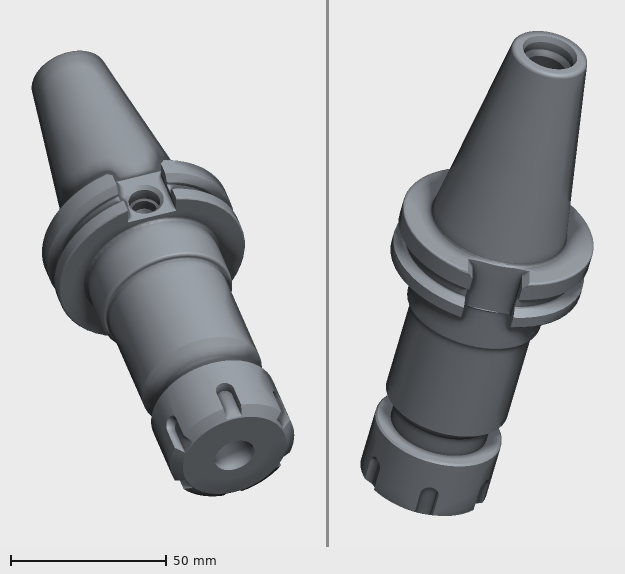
import cadquery as cq
import math


gauge_dia = 44.45
taper_length = 68.25
taper_ratio = 7 / 24
small_end_dia = gauge_dia - taper_length * taper_ratio
small_end_fillet = 1.5

flange_dia = 63.28
flange_start = 69.4
flange_end = 87.3
flange_rear_fillet = 0.8
flange_front_fillet = 0.6
flange_root_fillet = 1.0
groove_center = 79.35
groove_floor_dia = 56.2
groove_floor_width = 3.7
groove_mouth_width = 7.2
groove_wall_depth = 2.5

slot_width = 16.4
slot_corner_chamfer = 2.0
upper_slot_floor = 24.6
lower_slot_floor = 22.6

mouth_dia = 12.5
thread_dia = 10.13
drill_dia = 8.0
thread_depth = 5.3
drill_depth = 9.0
drill_point_angle = 118

shoulder_end = 103.3
shoulder_fillet = 1.0
body_dia = 40.51
body_root_fillet = 0.6
body_end = 139.2
neck_dia = 32.0

overall_length = 172.91
nut_start = 150.0
nut_dia = 42.0
nut_rear_chamfer = 0.6
nut_face_dia = 35.0
nut_cone_length = 2.4
wrench_slot_count = 6
wrench_slot_floor_width = 5.0
wrench_slot_floor_start = 160.5
wrench_slot_floor = 17.8
wrench_slot_draft = 9

bore_dia = 13.39
pilot_dia = 16.46
pilot_mouth_dia = 18.03
pilot_mouth_depth = 1.9
pilot_end = 4.8


def shank():
    """Revolved taper, flange and stepped front body, without cuts."""
    gauge_r = gauge_dia / 2
    flange_r = flange_dia / 2
    small_r = small_end_dia / 2
    body_r = body_dia / 2
    neck_r = neck_dia / 2
    body_cone_end = body_end + body_r - neck_r
    half_angle = math.atan(taper_ratio)
    setback = small_end_fillet * math.tan((math.pi / 2 - half_angle) / 2)
    round_end = (setback * math.cos(half_angle), small_r + setback * math.sin(half_angle))
    profile = (
        cq.Workplane("XY")
        .moveTo(0, 0)
        .lineTo(0, small_r - setback)
        .radiusArc(round_end, small_end_fillet)
        .lineTo(taper_length, gauge_r)
        .lineTo(flange_start - flange_root_fillet, gauge_r)
        .radiusArc((flange_start, gauge_r + flange_root_fillet), -flange_root_fillet)
        .lineTo(flange_start, flange_r - flange_rear_fillet)
        .radiusArc((flange_start + flange_rear_fillet, flange_r), flange_rear_fillet)
        .lineTo(flange_end - flange_front_fillet, flange_r)
        .radiusArc((flange_end, flange_r - flange_front_fillet), flange_front_fillet)
        .lineTo(flange_end, gauge_r + flange_root_fillet)
        .radiusArc((flange_end + flange_root_fillet, gauge_r), -flange_root_fillet)
        .lineTo(shoulder_end - shoulder_fillet, gauge_r)
        .radiusArc((shoulder_end, gauge_r - shoulder_fillet), shoulder_fillet)
        .lineTo(shoulder_end, body_r + body_root_fillet)
        .radiusArc((shoulder_end + body_root_fillet, body_r), -body_root_fillet)
        .lineTo(body_end, body_r)
        .lineTo(body_cone_end, neck_r)
        .lineTo(overall_length, neck_r)
        .lineTo(overall_length, 0)
        .close()
    )
    return profile.revolve(360, (0, 0, 0), (1, 0, 0))


def gripper_groove():
    """Ring cut into the flange: sloped upper walls above a straight-sided floor."""
    flange_r = flange_dia / 2
    wall_r = flange_r - groove_wall_depth
    floor_r = groove_floor_dia / 2
    half_floor = groove_floor_width / 2
    half_mouth = groove_mouth_width / 2
    profile = cq.Workplane("XY").polyline([
        (groove_center - half_mouth, flange_r),
        (groove_center - half_floor, wall_r),
        (groove_center - half_floor, floor_r),
        (groove_center + half_floor, floor_r),
        (groove_center + half_floor, wall_r),
        (groove_center + half_mouth, flange_r),
    ]).close()
    return profile.revolve(360, (0, 0, 0), (1, 0, 0))


def drive_slot(floor_height, side):
    """Slot through the flange on the +Z (side = 1) or -Z (side = -1) side."""
    half = slot_width / 2
    wide = half + slot_corner_chamfer
    outline = cq.Workplane("XY").workplane(offset=side * floor_height).polyline([
        (flange_start, -wide),
        (flange_start + slot_corner_chamfer, -half),
        (flange_end, -half),
        (flange_end, half),
        (flange_start + slot_corner_chamfer, half),
        (flange_start, wide),
    ]).close()
    return outline.extrude(side * flange_dia / 2)


def flange_hole():
    """Countersunk, stepped blind hole with a drill point, going down from the upper slot floor."""
    mouth_r = mouth_dia / 2
    thread_r = thread_dia / 2
    drill_r = drill_dia / 2
    point_length = drill_r / math.tan(math.radians(drill_point_angle / 2))
    top = upper_slot_floor
    profile = cq.Workplane("XZ").polyline([
        (0, top),
        (mouth_r, top),
        (thread_r, top - (mouth_r - thread_r)),
        (thread_r, top - thread_depth),
        (drill_r, top - thread_depth),
        (drill_r, top - drill_depth),
        (0, top - drill_depth - point_length),
    ]).close()
    return profile.revolve(360, (0, 0, 0), (0, 1, 0)).translate((groove_center, 0, 0))


def axial_bore():
    """Through bore with a chamfered pilot at the small end of the taper."""
    bore_r = bore_dia / 2
    pilot_r = pilot_dia / 2
    profile = cq.Workplane("XY").polyline([
        (0, 0),
        (0, pilot_mouth_dia / 2),
        (pilot_mouth_depth, pilot_r),
        (pilot_end, pilot_r),
        (pilot_end + pilot_r - bore_r, bore_r),
        (overall_length, bore_r),
        (overall_length, 0),
    ]).close()
    return profile.revolve(360, (0, 0, 0), (1, 0, 0))


def wrench_slot():
    """Round-ended slot with drafted walls on the +Z side of the nut, open at the front face."""
    radius = wrench_slot_floor_width / 2
    round_center = wrench_slot_floor_start + radius
    outline = (
        cq.Workplane("XY")
        .workplane(offset=wrench_slot_floor)
        .moveTo(overall_length, -radius)
        .lineTo(round_center, -radius)
        .threePointArc((wrench_slot_floor_start, 0), (round_center, radius))
        .lineTo(overall_length, radius)
        .close()
    )
    return outline.extrude(nut_dia / 2 - wrench_slot_floor, taper=-wrench_slot_draft)


def build_holder():
    return (
        shank()
        .cut(gripper_groove())
        .cut(drive_slot(upper_slot_floor, 1))
        .cut(drive_slot(lower_slot_floor, -1))
        .cut(flange_hole())
        .cut(axial_bore())
    )


def build_nut():
    nut_r = nut_dia / 2
    neck_r = neck_dia / 2
    profile = cq.Workplane("XY").polyline([
        (nut_start, neck_r),
        (nut_start, nut_r - nut_rear_chamfer),
        (nut_start + nut_rear_chamfer, nut_r),
        (overall_length - nut_cone_length, nut_r),
        (overall_length, nut_face_dia / 2),
        (overall_length, neck_r),
    ]).close()
    nut = profile.revolve(360, (0, 0, 0), (1, 0, 0))
    for index in range(wrench_slot_count):
        angle = index * 360 / wrench_slot_count
        nut = nut.cut(wrench_slot().rotate((0, 0, 0), (1, 0, 0), angle))
    return nut


holder = build_holder()
nut = build_nut()
result = cq.Compound.makeCompound([holder.val(), nut.val()])